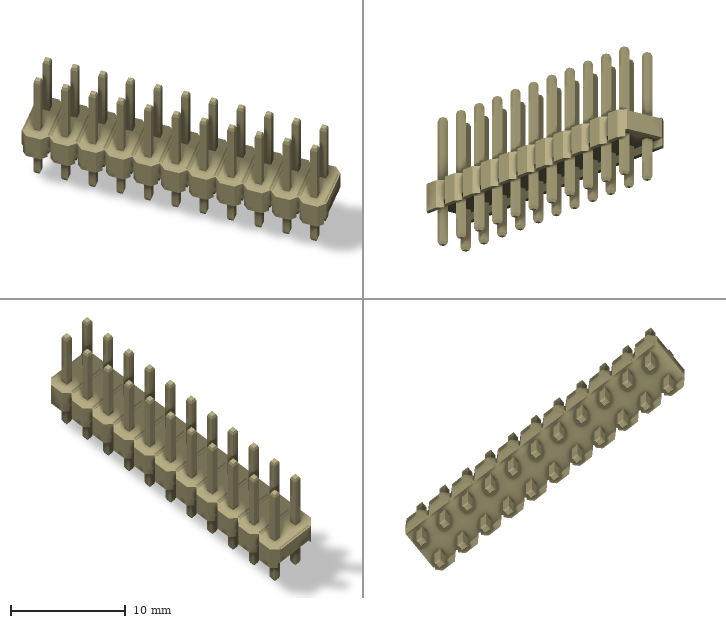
import cadquery as cq

pitch = 2.54
columns = 11
rows = 2

length = columns * pitch
width = rows * pitch
body_height = 2.5
corner_chamfer = 0.6

clearance_height = 0.7
parting_slot_width = 0.3
tunnel_width = 4.08

groove_top_length = 3.68
groove_top_width = 0.4
groove_depth = 0.1
groove_wall_run = 0.1
groove_floor_length = groove_top_length - 2 * groove_wall_run
groove_floor_width = groove_top_width - 2 * groove_wall_run

pin_size = 0.64
pin_tip_size = 0.44
pin_tip_height = 0.28
pin_bottom = -3.0
pin_length = 11.6

column_centres = [(i - (columns - 1) / 2) * pitch for i in range(columns)]
row_centres = [(j - (rows - 1) / 2) * pitch for j in range(rows)]
column_boundaries = [(i - columns / 2) * pitch for i in range(columns + 1)]


def make_column_block(x):
    """One chamfered block of the body, holding one column of pins."""
    block = cq.Workplane("XY").box(pitch, width, body_height, centered=(True, True, False))
    return block.edges("|Z").chamfer(corner_chamfer).translate((x, 0, 0))


def make_parting_slot(x):
    """Narrow slot in the underside between neighbouring columns."""
    slot = cq.Workplane("XY").box(
        parting_slot_width, width, clearance_height, centered=(True, True, False)
    )
    return slot.translate((x, 0, 0))


def make_top_groove(x):
    """Shallow groove in the top face, with all four walls sloping in to the floor."""
    return (
        cq.Workplane("XY", origin=(x, 0, body_height))
        .rect(groove_top_width, groove_top_length)
        .workplane(offset=-groove_depth)
        .rect(groove_floor_width, groove_floor_length)
        .loft(ruled=True)
    )


def make_tip(x, y, z, height):
    """Pin tip that narrows from the full section at z over a signed height."""
    return (
        cq.Workplane("XY", origin=(x, y, z))
        .rect(pin_size, pin_size)
        .workplane(offset=height)
        .rect(pin_tip_size, pin_tip_size)
        .loft(ruled=True)
    )


def make_pin(x, y):
    """Square pin with a tapered tip at both ends."""
    shank_bottom = pin_bottom + pin_tip_height
    shank_length = pin_length - 2 * pin_tip_height
    shank_start = cq.Workplane("XY", origin=(x, y, shank_bottom))
    shank = shank_start.rect(pin_size, pin_size).extrude(shank_length)
    lower_tip = make_tip(x, y, shank_bottom, -pin_tip_height)
    upper_tip = make_tip(x, y, shank_bottom + shank_length, pin_tip_height)
    return shank.union(lower_tip).union(upper_tip)


def make_body():
    """Row of chamfered blocks with underside tunnel, slots and top grooves."""
    body = make_column_block(column_centres[0])
    for x in column_centres[1:]:
        body = body.union(make_column_block(x))
    body = body.cut(
        cq.Workplane("XY").box(length, tunnel_width, clearance_height, centered=(True, True, False))
    )
    for x in column_boundaries:
        body = body.cut(make_parting_slot(x))
        body = body.cut(make_top_groove(x))
    return body.clean()


result = make_body()
for pin_x in column_centres:
    for pin_y in row_centres:
        result = result.union(make_pin(pin_x, pin_y))